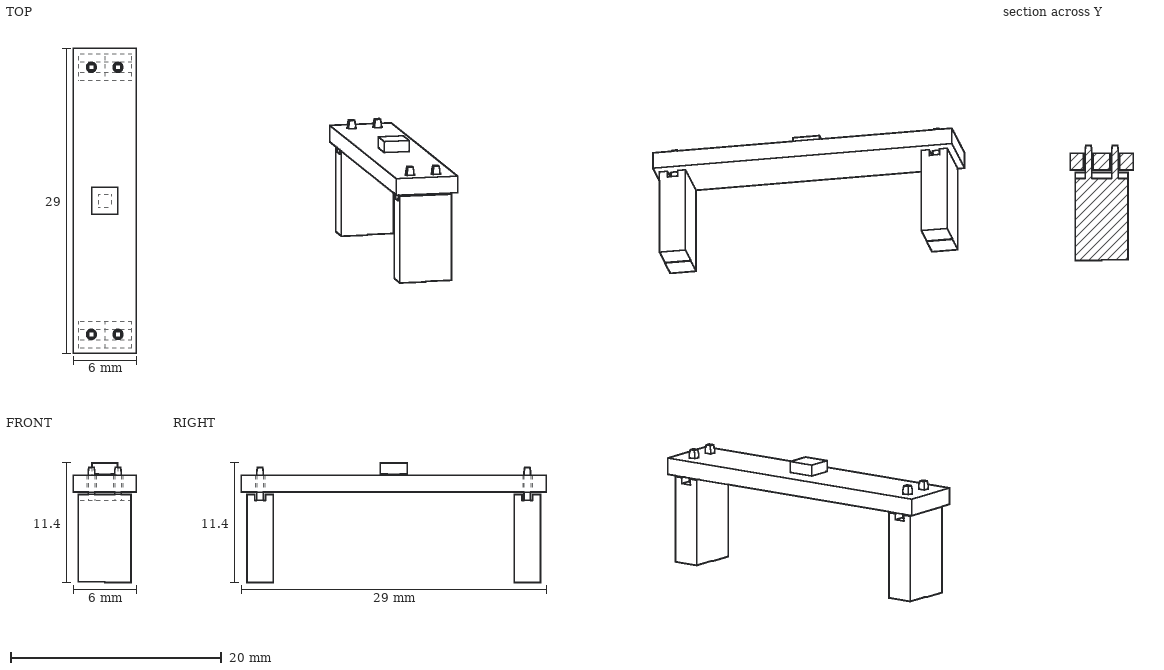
import cadquery as cq

board_width = 6.0
board_length = 29.0
board_thickness = 1.6

chip_width = 2.44
chip_length = 2.58
chip_height = 1.06
pad_size = 1.2
pad_height = 0.1

overall_height = 11.36
pitch = 2.52
header_spacing = 25.38
body_length = 2.52
body_gap = 0.23
bottom_step = 0.06
groove_width = 1.0
groove_depth = 0.57

pin_size = 0.64
hole_diameter = 0.9
pin_projection = 0.75
tip_height = 0.4
tip_size = 0.5

chip_bottom = board_thickness + pad_height
chip_top = chip_bottom + chip_height
body_width = pitch
body_top = -body_gap
body_bottom = chip_top - overall_height
groove_floor = body_top - groove_depth
pin_top = board_thickness + pin_projection
tip_base = pin_top - tip_height

header_positions = [
    (side * pitch / 2, end * header_spacing / 2)
    for end in (-1, 1)
    for side in (-1, 1)
]


def block(width, length, bottom, top, x=0, y=0):
    """Upright box centred on (x, y) between two heights."""
    return (
        cq.Workplane("XY", origin=(x, y, bottom))
        .rect(width, length)
        .extrude(top - bottom)
    )


def make_board():
    """Board with a through hole for every pin."""
    holes = (
        cq.Workplane("XY")
        .pushPoints(header_positions)
        .circle(hole_diameter / 2)
        .extrude(board_thickness)
    )
    return block(board_width, board_length, 0, board_thickness).cut(holes)


def make_chip():
    """Rectangular component on a smaller pad."""
    pad = block(pad_size, pad_size, board_thickness, chip_bottom)
    return pad.union(block(chip_width, chip_length, chip_bottom, chip_top))


def make_housing(x, y):
    """Header housing with a groove along X across its top."""
    bottom = body_bottom + bottom_step if x < 0 else body_bottom
    body = block(body_width, body_length, bottom, body_top, x, y)
    groove = block(body_width, groove_width, groove_floor, body_top, x, y)
    return body.cut(groove)


def make_pin(x, y):
    """Square pin standing on the groove floor, with a tapered tip."""
    shank = block(pin_size, pin_size, groove_floor, tip_base, x, y)
    tip = (
        cq.Workplane("XY", origin=(x, y, tip_base))
        .rect(pin_size, pin_size)
        .workplane(offset=tip_height)
        .rect(tip_size, tip_size)
        .loft(ruled=True)
    )
    return shank.union(tip)


result = make_board().union(make_chip())
for x, y in header_positions:
    result = result.union(make_housing(x, y)).union(make_pin(x, y))